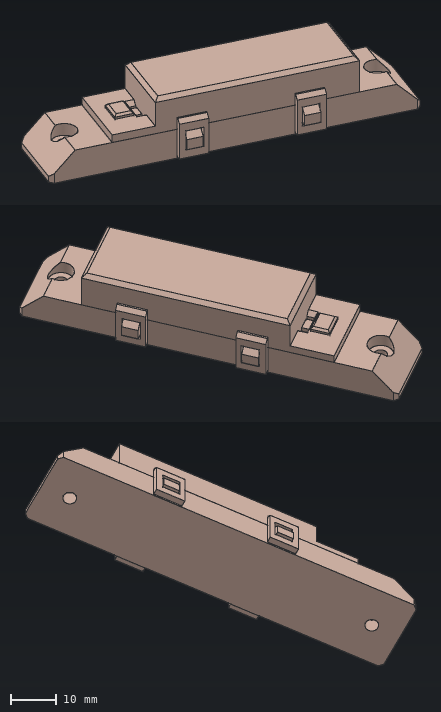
import cadquery as cq

base_length = 89.0
base_width = 18.0
base_height = 7.5
base_end_height = 1.5
end_slope = base_height - base_end_height
edge_chamfer = 1.0

screw_spacing = 74.9
screw_hole_diameter = 3.0
screw_head_diameter = 6.0
screw_head_depth = 3.0

lid_length = 59.3
cover_length = 48.95
cover_top = 16.5
step_top = 9.4
cover_front = lid_length / 2 - cover_length

overall_width = 21.9
clip_thickness = 1.4
clip_width = 7.0
clip_bottom = 0.5
clip_top = 10.5
clip_positions = (17.6, -10.6)
clip_middle = sum(clip_positions) / len(clip_positions)

catch_reach = (overall_width - base_width) / 2
catch_width = 3.9
catch_bottom = 2.9
window_play = 0.4

opening_width = 7.3
opening_length = 2.2
opening_bevel = 1.1
tab_width = 3.0
tab_top = 8.5
tab_gap = 0.2
button_width = 5.7
button_length = 4.5
button_height = 1.1
button_chamfer = 0.5
button_gap = 0.45
button_y = cover_front - opening_length - button_gap - button_length / 2


def block(width, length, bottom, top, y=0, x=0):
    """Upright box centred on (x, y), from height bottom to height top."""
    return cq.Workplane("XY", origin=(x, y, bottom)).rect(width, length).extrude(top - bottom)


def make_catch(side, y):
    """Wedge on the base's side, sloping at 45 degrees from the base's top edge."""
    wall = side * base_width / 2
    tip = side * (base_width / 2 + catch_reach)
    profile = [
        (wall, catch_bottom),
        (tip, catch_bottom),
        (tip, base_height - catch_reach),
        (wall, base_height),
    ]
    start = cq.Workplane("XZ", origin=(0, y + catch_width / 2, 0))
    return start.polyline(profile).close().extrude(catch_width)


def make_base():
    half = base_length / 2
    profile = [
        (-half, 0),
        (half, 0),
        (half, base_end_height),
        (half - end_slope, base_height),
        (end_slope - half, base_height),
        (-half, base_end_height),
    ]
    base = cq.Workplane("YZ").polyline(profile).close().extrude(base_width / 2, both=True)

    plan = block(base_width, base_length, 0, base_height).edges("|Z").chamfer(edge_chamfer)
    base = base.intersect(plan)

    screws = cq.Workplane("XY", origin=(0, 0, base_height)).rarray(0.9, screw_spacing, 1, 2)
    base = base.cut(screws.circle(screw_hole_diameter / 2).extrude(-base_height))
    base = base.cut(screws.circle(screw_head_diameter / 2).extrude(-screw_head_depth))

    for y in clip_positions:
        for side in (-1, 1):
            base = base.union(make_catch(side, y))
    return base


def make_clip(side, y):
    """Plate hanging from the lid's side, with a window for the catch."""
    x = side * (base_width + clip_thickness) / 2
    outer_edge = ">X" if side > 0 else "<X"
    clip = block(clip_thickness, clip_width, clip_bottom, clip_top, y, x)
    clip = clip.faces(">Z").edges(outer_edge).chamfer(edge_chamfer)

    toward_middle = 1 if y < clip_middle else -1
    window_y = y + toward_middle * window_play / 2
    window_width = catch_width + window_play
    window_bottom = catch_bottom - window_play
    return clip.cut(block(clip_thickness, window_width, window_bottom, base_height, window_y, x))


def make_opening():
    """Opening through the step beside the cover, with bevelled sides."""
    half_mouth = opening_width / 2
    half_throat = half_mouth - opening_bevel
    bevel_bottom = step_top - opening_bevel
    profile = [
        (-half_mouth, step_top),
        (-half_throat, bevel_bottom),
        (-half_throat, base_height),
        (half_throat, base_height),
        (half_throat, bevel_bottom),
        (half_mouth, step_top),
    ]
    start = cq.Workplane("XZ", origin=(0, cover_front, 0))
    return start.polyline(profile).close().extrude(opening_length)


def make_tab():
    """Low tab reaching across the opening from the step toward the cover."""
    tab_length = opening_length - tab_gap
    tab_y = cover_front - tab_gap - tab_length / 2
    return block(tab_width, tab_length, base_height, tab_top, tab_y)


def make_lid():
    cover_y = cover_front + cover_length / 2
    cover = block(base_width, cover_length, base_height, cover_top, cover_y)
    cover = cover.faces(">Z").edges().chamfer(edge_chamfer)
    lid = cover.union(block(base_width, lid_length, base_height, step_top))

    for y in clip_positions:
        for side in (-1, 1):
            lid = lid.union(make_clip(side, y))

    lid = lid.cut(make_opening()).union(make_tab())
    return lid.cut(block(button_width, button_length, base_height, step_top, button_y))


def make_button():
    """Push button standing in its hole through the step."""
    button = block(button_width, button_length, base_height, step_top + button_height, button_y)
    return button.faces(">Z").edges().chamfer(button_chamfer)


base = make_base()
lid = make_lid()
button = make_button()

result = cq.Compound.makeCompound([base.val(), lid.val(), button.val()])